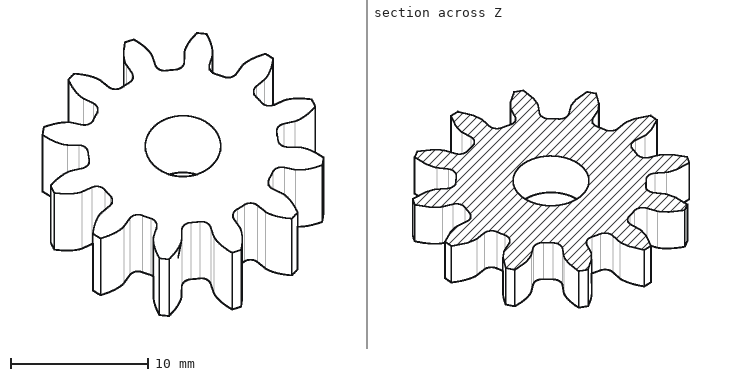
import cadquery as cq
import math

tooth_count = 12
module = 1.5
pressure_angle = math.radians(20)
tip_radius = 10.3
root_radius = 6.95
root_fillet_radius = 0.7
pitch_tooth_thickness = 1.93
face_width = 7.0
bore_diameter = 5.5
flank_steps = 6

pitch_radius = module * tooth_count / 2
base_radius = pitch_radius * math.cos(pressure_angle)
tooth_pitch = 2 * math.pi / tooth_count


def involute_angle(radius):
    """Polar angle swept by the involute from the base circle out to a radius."""
    pressure = math.acos(base_radius / radius)
    return math.tan(pressure) - pressure


base_half_angle = pitch_tooth_thickness / (2 * pitch_radius) + involute_angle(pitch_radius)
tip_half_angle = base_half_angle - involute_angle(tip_radius)

fillet_centre_radius = root_radius + root_fillet_radius
fillet_centre_angle = base_half_angle + math.asin(root_fillet_radius / fillet_centre_radius)
fillet_flank_radius = math.sqrt(fillet_centre_radius**2 - root_fillet_radius**2)


def polar(radius, angle):
    return (radius * math.cos(angle), radius * math.sin(angle))


def fillet_middle(tooth_angle, side):
    """Middle of the root fillet arc; side is -1 before the tooth and +1 after it."""
    centre_angle = tooth_angle + side * fillet_centre_angle
    centre_x, centre_y = polar(fillet_centre_radius, centre_angle)
    toward_flank = tooth_angle + side * (base_half_angle - math.pi / 2)
    toward_gear_centre = centre_angle - side * math.pi
    offset_x, offset_y = polar(root_fillet_radius, (toward_flank + toward_gear_centre) / 2)
    return (centre_x + offset_x, centre_y + offset_y)


def involute_flank(tooth_angle, side):
    """Points of one involute flank, from base circle to tip, closer together near the base."""
    points = []
    for step in range(flank_steps + 1):
        radius = base_radius + (tip_radius - base_radius) * (step / flank_steps) ** 2
        half_angle = base_half_angle - involute_angle(radius)
        points.append(polar(radius, tooth_angle + side * half_angle))
    return points


def add_tooth(outline, tooth_angle):
    """Continue the outline counterclockwise over one tooth and the root after it."""
    rising_flank = involute_flank(tooth_angle, -1)
    falling_flank = involute_flank(tooth_angle, 1)[::-1]
    next_root_end = tooth_angle + tooth_pitch - fillet_centre_angle
    return (
        outline
        .threePointArc(
            fillet_middle(tooth_angle, -1),
            polar(fillet_flank_radius, tooth_angle - base_half_angle),
        )
        .lineTo(*rising_flank[0])
        .spline(rising_flank[1:], includeCurrent=True)
        .threePointArc(polar(tip_radius, tooth_angle), polar(tip_radius, tooth_angle + tip_half_angle))
        .spline(falling_flank[1:], includeCurrent=True)
        .lineTo(*polar(fillet_flank_radius, tooth_angle + base_half_angle))
        .threePointArc(
            fillet_middle(tooth_angle, 1),
            polar(root_radius, tooth_angle + fillet_centre_angle),
        )
        .threePointArc(
            polar(root_radius, tooth_angle + tooth_pitch / 2),
            polar(root_radius, next_root_end),
        )
    )


def make_gear_blank():
    outline = cq.Workplane("XY").moveTo(*polar(root_radius, -fillet_centre_angle))
    for tooth in range(tooth_count):
        outline = add_tooth(outline, tooth * tooth_pitch)
    return outline.close().extrude(face_width)


def cut_bore(gear):
    bore = cq.Workplane("XY").circle(bore_diameter / 2).extrude(face_width)
    return gear.cut(bore)


result = cut_bore(make_gear_blank())